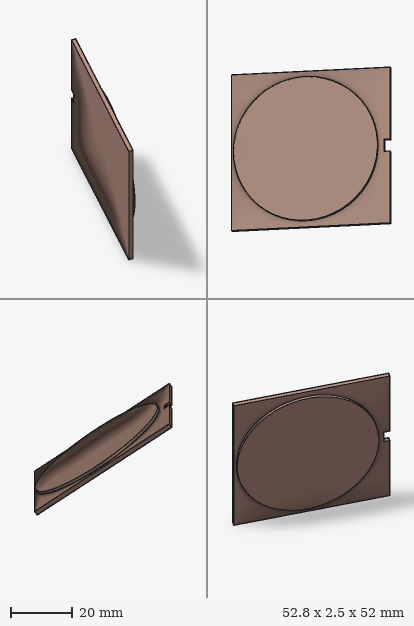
import cadquery as cq

plate_width = 52.8
plate_height = 52.0
plate_thickness = 1.5

total_thickness = 2.5
pad_diameter = 48.0
pad_offset_x = 1.6
pad_height = total_thickness - plate_thickness

notch_depth = 2.0
notch_height = 4.0


def make_plate():
    """Plate centred on X and Z, with its front face at Y = 0."""
    return cq.Workplane("XY").box(
        plate_width, plate_thickness, plate_height, centered=(True, False, True)
    )


def make_pad():
    """Disc standing on the rear face of the plate."""
    rear_face = cq.Workplane("XZ", origin=(pad_offset_x, plate_thickness, 0))
    return rear_face.circle(pad_diameter / 2).extrude(-pad_height)


def make_notch():
    """Rectangular cutter entering the plate from its -X edge."""
    notch = cq.Workplane("XY").box(
        notch_depth, plate_thickness, notch_height, centered=(False, False, True)
    )
    return notch.translate((-plate_width / 2, 0, 0))


result = make_plate().cut(make_notch()).union(make_pad())